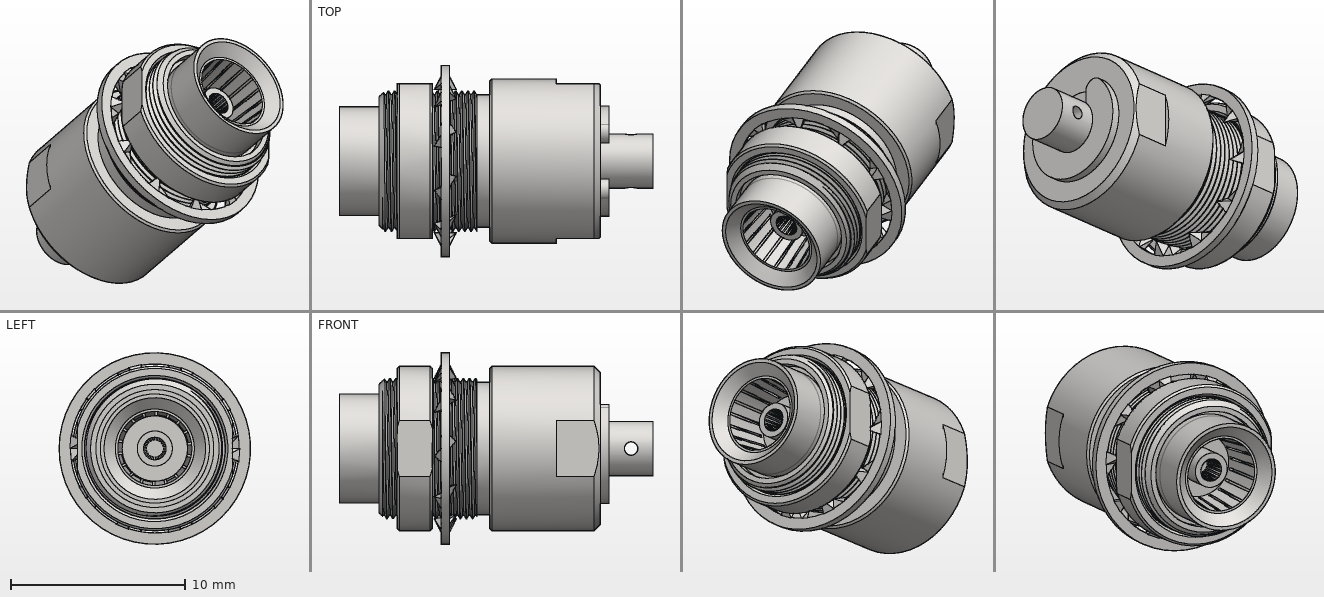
import cadquery as cq
import math


overall_length = 18.0
nose_length = 2.27
barrel_end = 7.9
shell_start = 8.62
shell_end = 14.98
flange_thickness = 0.5
flange_end = shell_end + flange_thickness

nose_radius = 3.13
mouth_radius = 2.92
bore_radius = 2.27
mouth_depth = mouth_radius - bore_radius
gap_radius = 3.38
gap_depth = 0.54
root_radius = 3.83
neck_radius = 3.82
crest_radius = 4.03
thread_pitch = 0.7 / 2
crest_width = 0.04
root_width = 0.04
ridge_sink = 0.04
thread_start = 1.67
barrel_lead_radius = 3.69
barrel_lead_length = 0.4
plain_lead_length = 0.22
shell_radius = 9.45 / 2
shell_front_chamfer = 0.13
shell_rear_chamfer = 0.36
across_flats = 8.9
shell_flat_start = 12.45

nut_start = 3.31
nut_end = 5.33
nut_radius = shell_radius
nut_chamfer = 0.13
nut_bore_radius = 4.05
nut_mouth_radius = 4.2

washer_start = 5.83
washer_thickness = 0.49
washer_middle = washer_start + washer_thickness / 2
washer_radius = 11.0 / 2
washer_bore_radius = 4.85
tooth_count = 10
tooth_pitch_angle = 360 / tooth_count
tooth_half_angle = tooth_pitch_angle / 4
tooth_tip_angle = 6.0
tooth_tip_radius = 4.12
tooth_overhang = 0.4
tooth_root_radius = washer_bore_radius + 0.04

finger_count = 18
finger_pitch_angle = 360 / finger_count
finger_phase = 2.0
crown_end = 3.6
crown_front_radius = 2.12
crown_rear_radius = 1.87
crown_slot_width = 0.15
slot_end_wall = 0.18

contact_front = 1.98
contact_radius = 1.0
socket_mouth_radius = 0.65
socket_floor_radius = 0.49
socket_end = 3.6
contact_step = shell_start
socket_slot_width = 0.09
tube_radius = 1.57
wire_hole_radius = 0.38
wire_hole_position = 16.74
flange_radius = 3.17
notch_half_width = 1.03
notch_fillet = 0.65


def revolved(profile):
    """Solid of revolution about X from a list of (x, radius) points."""
    return cq.Workplane("XY").polyline(profile).close().revolve(360, (0, 0, 0), (1, 0, 0))


def disc(start, end, radius):
    """Cylinder on the X axis between two stations."""
    return cq.Workplane("YZ", origin=(start, 0, 0)).circle(radius).extrude(end - start)


def polar_point(x, radius, angle):
    """Point at an angle from +Z, turning towards -Y."""
    turn = math.radians(angle)
    return cq.Vector(x, -radius * math.sin(turn), radius * math.cos(turn))


def flat_cutters(start, end, outer_radius):
    """Two blocks that cut the +Y and -Y spanner flats."""
    length = end - start
    blocks = cq.Workplane("XY")
    for side in (1, -1):
        block = cq.Workplane("XY").box(length, outer_radius, 2 * outer_radius)
        offset = side * (across_flats + outer_radius) / 2
        blocks = blocks.add(block.translate((start + length / 2, offset, 0)))
    return blocks.combine()


def threaded_barrel():
    """Barrel with a helical ridge, trimmed to its length and tapered at the front."""
    ridge_length = barrel_end - nose_length + 4 * thread_pitch
    base_radius = root_radius - ridge_sink
    half_base = thread_pitch / 2 - root_width / 2
    half_crest = crest_width / 2
    path = cq.Wire.makeHelix(thread_pitch, ridge_length, root_radius)
    ridge = (
        cq.Workplane("XZ")
        .polyline([
            (base_radius, half_base),
            (crest_radius, half_crest),
            (crest_radius, -half_crest),
            (base_radius, -half_base),
        ])
        .close()
        .sweep(cq.Workplane(path), isFrenet=True)
        .rotate((0, 0, 0), (0, 1, 0), 90)
        .translate((thread_start, 0, 0))
    )
    core = disc(thread_start - thread_pitch, barrel_end + 3 * thread_pitch, root_radius)
    envelope_radius = crest_radius + ridge_sink
    envelope = revolved([
        (nose_length, 0),
        (nose_length, barrel_lead_radius),
        (nose_length + barrel_lead_length, envelope_radius),
        (barrel_end, envelope_radius),
        (barrel_end, 0),
    ])
    plain_lead = disc(thread_start - thread_pitch, nose_length + plain_lead_length, envelope_radius)
    return core.union(ridge).union(plain_lead).intersect(envelope)


def radial_slots(start, end, outer_radius, width):
    """Ring of radial slot cutters, reaching from the axis to outer_radius."""
    length = end - start
    slots = cq.Workplane("XY")
    for index in range(finger_count):
        slot = cq.Workplane("XY").box(length, width, outer_radius, centered=(False, True, False))
        angle = finger_phase + index * finger_pitch_angle
        slots = slots.add(slot.translate((start, 0, 0)).rotate((0, 0, 0), (1, 0, 0), angle))
    return slots.combine()


def make_housing():
    """Nose, threaded barrel, neck and shell in one piece, bored for the inner parts."""
    outside = revolved([
        (0, 0),
        (0, nose_radius),
        (nose_length + gap_depth, nose_radius),
        (nose_length + gap_depth, root_radius - ridge_sink),
        (barrel_end, root_radius - ridge_sink),
        (barrel_end, neck_radius),
        (shell_start, neck_radius),
        (shell_start, shell_radius - shell_front_chamfer),
        (shell_start + shell_front_chamfer, shell_radius),
        (shell_end - shell_rear_chamfer, shell_radius),
        (shell_end, shell_radius - shell_rear_chamfer),
        (shell_end, 0),
    ])
    gap = disc(nose_length, nose_length + gap_depth, gap_radius).cut(
        disc(nose_length, nose_length + gap_depth, nose_radius)
    )
    bore = revolved([
        (0, 0),
        (0, mouth_radius),
        (mouth_depth, bore_radius),
        (shell_end, bore_radius),
        (shell_end, 0),
    ])
    flats = flat_cutters(shell_flat_start, shell_end, shell_radius)
    return threaded_barrel().cut(gap).union(outside).cut(flats).cut(bore)


def make_nut():
    """Ring nut with two spanner flats, chamfered outside and in the bore."""
    bore_chamfer = nut_mouth_radius - nut_bore_radius
    ring = revolved([
        (nut_start, nut_mouth_radius),
        (nut_start, nut_radius - nut_chamfer),
        (nut_start + nut_chamfer, nut_radius),
        (nut_end - nut_chamfer, nut_radius),
        (nut_end, nut_radius - nut_chamfer),
        (nut_end, nut_mouth_radius),
        (nut_end - bore_chamfer, nut_bore_radius),
        (nut_start + bore_chamfer, nut_bore_radius),
    ])
    return ring.cut(flat_cutters(nut_start, nut_end, nut_radius))


def half_tooth():
    """Half of a twisted washer tooth: its tip sweeps from mid-thickness out past the rear face."""
    front = washer_start
    rear = washer_start + washer_thickness
    root_front = polar_point(front, tooth_root_radius, 0)
    root_rear = polar_point(rear, tooth_root_radius, 0)
    side_front = polar_point(front, tooth_root_radius, -tooth_half_angle)
    side_rear = polar_point(rear, tooth_root_radius, -tooth_half_angle)
    tip_middle = polar_point(washer_middle, tooth_tip_radius, 0)
    tip_outer = polar_point(rear + tooth_overhang, tooth_tip_radius, -tooth_tip_angle)
    outlines = [
        [root_front, root_rear, side_rear, side_front],
        [root_front, root_rear, tip_middle],
        [root_rear, side_rear, tip_outer],
        [side_rear, side_front, tip_outer],
        [side_front, root_front, tip_middle],
        [tip_outer, side_front, tip_middle],
        [root_rear, tip_outer, tip_middle],
    ]
    faces = [cq.Face.makeFromWires(cq.Wire.makePolygon(points, close=True)) for points in outlines]
    return cq.Workplane(cq.Solid.makeSolid(cq.Shell.makeShell(faces)))


def make_washer():
    """Flat ring with internal teeth, each twisted towards both faces."""
    washer_end = washer_start + washer_thickness
    washer = disc(washer_start, washer_end, washer_radius).cut(
        disc(washer_start, washer_end, washer_bore_radius)
    )
    rear_half = half_tooth()
    front_half = rear_half.rotate((washer_middle, 0, 0), (washer_middle, 0, 1), 180)
    for index in range(tooth_count):
        angle = (index + 0.5) * tooth_pitch_angle
        for half in (rear_half, front_half):
            washer = washer.union(half.rotate((0, 0, 0), (1, 0, 0), angle))
    return washer


def make_crown():
    """Tapered sleeve whose bore is divided into fingers by radial slots."""
    sleeve = revolved([
        (mouth_depth, crown_front_radius),
        (mouth_depth, bore_radius),
        (crown_end, bore_radius),
        (crown_end, crown_rear_radius),
    ])
    slots = radial_slots(mouth_depth, crown_end - slot_end_wall, crown_front_radius, crown_slot_width)
    return sleeve.cut(slots)


def make_insulator():
    """Sleeve between housing and contact, with a notched flange behind the shell."""
    body = disc(crown_end, shell_end, bore_radius)
    flange = disc(shell_end, flange_end, flange_radius)
    notch = (
        cq.Workplane("YZ", origin=(shell_end, 0, 0))
        .rect(2 * notch_half_width, 2 * flange_radius)
        .extrude(flange_thickness)
        .translate((0, 0, flange_radius))
    )
    mouth_edges = cq.selectors.BoxSelector(
        (shell_end, -flange_radius, 0),
        (flange_end, flange_radius, flange_radius),
    )
    notched = flange.cut(notch).edges("|X").edges(mouth_edges).edges(">Z").fillet(notch_fillet)
    passage = disc(crown_end, contact_step, contact_radius).union(
        disc(contact_step, flange_end, tube_radius)
    )
    return body.union(notched).cut(passage)


def make_contact():
    """Centre contact: slotted socket in front, cross-drilled tube at the rear."""
    body = disc(contact_front, contact_step, contact_radius).union(
        disc(contact_step, overall_length, tube_radius)
    )
    socket = revolved([
        (contact_front, 0),
        (contact_front, socket_mouth_radius),
        (socket_end, socket_floor_radius),
        (socket_end, 0),
    ])
    slots = radial_slots(contact_front, socket_end, socket_mouth_radius, socket_slot_width)
    wire_hole = (
        cq.Workplane("XZ")
        .center(wire_hole_position, 0)
        .circle(wire_hole_radius)
        .extrude(tube_radius, both=True)
    )
    return body.cut(socket).cut(slots).cut(wire_hole)


housing = make_housing()
nut = make_nut()
washer = make_washer()
crown = make_crown()
insulator = make_insulator()
contact = make_contact()

result = cq.Compound.makeCompound([
    housing.val(),
    nut.val(),
    washer.val(),
    crown.val(),
    insulator.val(),
    contact.val(),
])